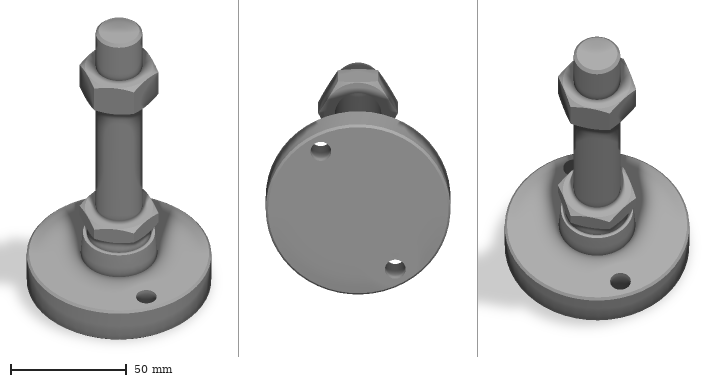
import cadquery as cq
import math

plate_diameter = 80.0
plate_height = 16.5
plate_chamfer = 1.0
mount_hole_diameter = 9.0
mount_hole_spacing = 64.0
socket_bottom_radius = 16.6
socket_top_radius = 15.6
socket_height = 11.5
socket_bulge = 0.1
socket_top = plate_height + socket_height

ball_radius = 14.0
ball_center = 26.0
hex_bottom = 34.2
hex_height = 8.0
neck_radius = 9.2
neck_height = 0.7
stud_radius = 10.1
stud_chamfer = 1.3
spindle_top = 142.0
hex_top = hex_bottom + hex_height
stud_bottom = hex_top + neck_height

across_flats = 30.0
face_radius = 14.8
hex_chamfer_angle = 30.0

nut_height = 15.0
nut_end_gap = 20.0
nut_bottom = spindle_top - nut_end_gap - nut_height


def cylinder(radius, bottom, top):
    return cq.Workplane("XY").workplane(offset=bottom).circle(radius).extrude(top - bottom)


def ball():
    return cq.Workplane("XY").sphere(ball_radius).translate((0, 0, ball_center))


def chamfered_hexagon(bottom, height):
    """Hexagon with corners on the X axis and conical chamfers at both ends."""
    corner_radius = across_flats / math.sqrt(3)
    drop = (corner_radius - face_radius) * math.tan(math.radians(hex_chamfer_angle))
    prism = cq.Workplane("XY").polygon(6, 2 * corner_radius).extrude(height)
    envelope = (
        cq.Workplane("XZ")
        .moveTo(0, 0)
        .lineTo(face_radius, 0)
        .lineTo(corner_radius, drop)
        .lineTo(corner_radius, height - drop)
        .lineTo(face_radius, height)
        .lineTo(0, height)
        .close()
        .revolve(360, (0, 0), (0, 1))
    )
    return prism.intersect(envelope).translate((0, 0, bottom))


def make_base():
    plate = cylinder(plate_diameter / 2, 0, plate_height).edges().chamfer(plate_chamfer)
    middle_radius = (socket_bottom_radius + socket_top_radius) / 2 + socket_bulge
    socket = (
        cq.Workplane("XZ")
        .moveTo(0, plate_height)
        .lineTo(socket_bottom_radius, plate_height)
        .threePointArc(
            (middle_radius, plate_height + socket_height / 2),
            (socket_top_radius, socket_top),
        )
        .lineTo(0, socket_top)
        .close()
        .revolve(360, (0, 0), (0, 1))
    )
    half_spacing = mount_hole_spacing / 2
    holes = (
        cq.Workplane("XY")
        .pushPoints([(-half_spacing, 0), (half_spacing, 0)])
        .circle(mount_hole_diameter / 2)
        .extrude(plate_height)
    )
    return plate.union(socket).cut(holes).cut(ball())


def make_spindle():
    foot = ball().intersect(cylinder(ball_radius, 0, hex_bottom))
    wrench_hexagon = chamfered_hexagon(hex_bottom, hex_height)
    neck = cylinder(neck_radius, hex_top, stud_bottom)
    stud = cylinder(stud_radius, stud_bottom, spindle_top).faces(">Z").chamfer(stud_chamfer)
    return foot.union(wrench_hexagon).union(neck).union(stud)


def make_lock_nut():
    bore = cylinder(stud_radius, nut_bottom, nut_bottom + nut_height)
    return chamfered_hexagon(nut_bottom, nut_height).cut(bore)


base = make_base()
spindle = make_spindle()
lock_nut = make_lock_nut()

result = cq.Compound.makeCompound([base.val(), spindle.val(), lock_nut.val()])